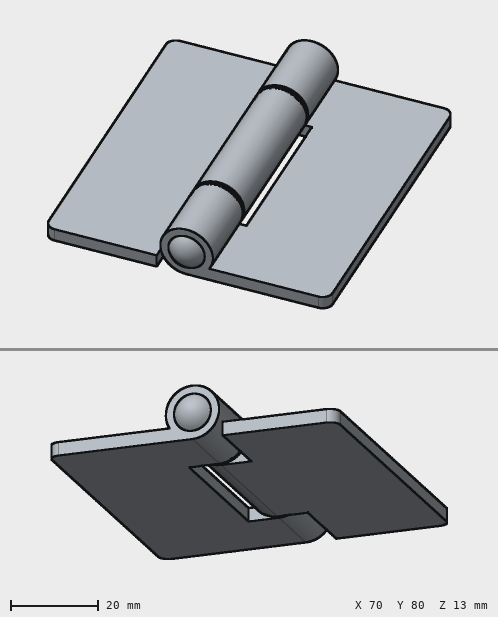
import cadquery as cq

overall_width = 70.0
overall_length = 80.0
leaf_length = 75.0

leaf_thickness = 3.3
corner_radius = 2.5
knuckle_diameter = 13.0
middle_knuckle_length = 37.3
side_clearance = 0.9

pin_diameter = 9.0
washer_diameter = 12.4
washer_thickness = 1.0

knuckle_radius = knuckle_diameter / 2
pin_radius = pin_diameter / 2
leaf_half_length = leaf_length / 2
dome_height = (overall_length - leaf_length) / 2
middle_knuckle_end = middle_knuckle_length / 2
outer_knuckle_start = middle_knuckle_end + washer_thickness
outer_knuckle_length = leaf_half_length - outer_knuckle_start
notch_edge = knuckle_radius + side_clearance
plate_length_x = overall_width / 2 - notch_edge


def cylinder_along_y(radius, start, length):
    """Solid cylinder on the pin axis, running in +Y from start."""
    return cq.Workplane("XZ", origin=(0, start, 0)).circle(radius).extrude(-length)


def plate_block(x_start, x_length, y_start, y_length):
    """Flat block of leaf thickness, level with the bottom of the knuckles."""
    return cq.Workplane("XY").box(x_length, y_length, leaf_thickness, centered=False).translate(
        (x_start, y_start, -knuckle_radius)
    )


def make_leaf(side, knuckles):
    """Leaf on the given side (-1 or +1), with knuckles as (start, length) pairs along Y."""
    plate_start = notch_edge if side > 0 else -overall_width / 2
    leaf = plate_block(plate_start, plate_length_x, -leaf_half_length, leaf_length)
    outer_corners = "|Z and >X" if side > 0 else "|Z and <X"
    leaf = leaf.edges(outer_corners).fillet(corner_radius)

    web_start = min(0, side * notch_edge)
    for start, length in knuckles:
        leaf = leaf.union(plate_block(web_start, notch_edge, start, length))
        leaf = leaf.union(cylinder_along_y(knuckle_radius, start, length))
    return leaf.cut(cylinder_along_y(pin_radius, -leaf_half_length, leaf_length))


def make_pin():
    """Round pin with a shallow spherical dome beyond each end of the knuckles."""
    dome_radius = (pin_radius**2 + dome_height**2) / (2 * dome_height)
    dome_mid_x = pin_radius / 2
    dome_center_y = overall_length / 2 - dome_radius
    dome_mid_y = dome_center_y + (dome_radius**2 - dome_mid_x**2) ** 0.5
    half_profile = (
        cq.Workplane("XY")
        .moveTo(0, -overall_length / 2)
        .threePointArc((dome_mid_x, -dome_mid_y), (pin_radius, -leaf_half_length))
        .lineTo(pin_radius, leaf_half_length)
        .threePointArc((dome_mid_x, dome_mid_y), (0, overall_length / 2))
        .close()
    )
    return half_profile.revolve(360, (0, 0, 0), (0, 1, 0))


def make_washer(start):
    """Washer filling the gap between two neighbouring knuckles."""
    disc = cylinder_along_y(washer_diameter / 2, start, washer_thickness)
    return disc.cut(cylinder_along_y(pin_radius, start, washer_thickness))


left_leaf = make_leaf(-1, [(-middle_knuckle_end, middle_knuckle_length)])
right_leaf = make_leaf(
    1,
    [
        (-leaf_half_length, outer_knuckle_length),
        (outer_knuckle_start, outer_knuckle_length),
    ],
)
pin = make_pin()
washers = [make_washer(start) for start in (-outer_knuckle_start, middle_knuckle_end)]

bodies = [left_leaf, right_leaf, pin, *washers]

result = cq.Compound.makeCompound([body.solids().val() for body in bodies])